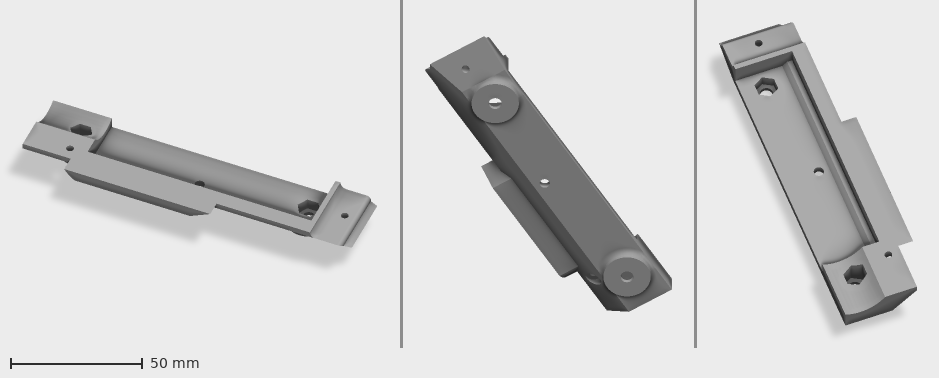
import cadquery as cq
import math

length = 133.9
body_width = 29.0
plate_thickness = 11.0
boss_height = 3.3
bottom_z = -plate_thickness - boss_height

boss_diameter = 18.0
boss_x_places = (15.9, 109.9)
boss_y = -10.0
boss_root_radius = 2.0
boss_hole_diameter = 5.0
nut_across_flats = 7.9
nut_floor_thickness = 1.6

front_wall_height = 2.4
slope_foot_y = -19.1

end_step_x = 118.6
end_step_depth = 2.7
end_wall_x = 131.2
end_wall_bottom = 5.1
end_round_radius = 1.6
tip_depth = 6.5
end_slope_foot_x = 119.1

tab_width = 6.0
tab_depth = 4.4
tab_left_x = 19.8
tab_right_x = 80.0
tab_bottom_left_x = 24.1
tab_bottom_right_x = 71.7
tab_left_bulge = 0.4

pocket_left_x = 24.2
pocket_right_x = 116.6
pocket_depth = 8.0
pocket_wall_y = -23.0
ledge_edge_y = -21.0
floor_edge_y = -19.0
ledge_depth = 6.3

groove_radius = 12.7
groove_y = -6.0
groove_depth = 5.0

small_hole_diameter = 3.0
left_hole = (17.4, -24.1)
right_hole = (126.1, -13.1)
left_counterbore_diameter = 6.0
left_counterbore_top = 2.7
middle_hole = (66.9, -14.9)
middle_hole_diameter = 3.9


def prism_along_x(outline, start_x, end_x):
    """Extrude a closed (Y, Z) outline from start_x to end_x."""
    return cq.Workplane("YZ", origin=(start_x, 0, 0)).polyline(outline).close().extrude(end_x - start_x)


def vertical_hole(place, diameter, top_z=0.0):
    """Cylinder that runs from top_z to the very bottom of the part."""
    return (
        cq.Workplane("XY", origin=(place[0], place[1], top_z))
        .circle(diameter / 2)
        .extrude(bottom_z - top_z)
    )


def make_plate():
    """Plate with the front slope, the lowered right end and its pointed tip."""
    section = [
        (0, 0),
        (-body_width, 0),
        (-body_width, -front_wall_height),
        (slope_foot_y, -plate_thickness),
        (0, -plate_thickness),
    ]
    diagonal = math.sqrt(0.5)
    step_arc_middle = (
        end_step_x + end_step_depth * (1 - diagonal),
        -end_step_depth * diagonal,
    )
    round_arc_middle = (
        end_wall_x - end_round_radius * (1 - diagonal),
        -end_step_depth - end_round_radius * (1 - diagonal),
    )
    side_profile = (
        cq.Workplane("XZ")
        .moveTo(0, 0)
        .lineTo(end_step_x, 0)
        .threePointArc(step_arc_middle, (end_step_x + end_step_depth, -end_step_depth))
        .lineTo(end_wall_x - end_round_radius, -end_step_depth)
        .threePointArc(round_arc_middle, (end_wall_x, -end_step_depth - end_round_radius))
        .lineTo(end_wall_x, -end_wall_bottom)
        .lineTo(length, -tip_depth)
        .lineTo(end_slope_foot_x, -plate_thickness)
        .lineTo(0, -plate_thickness)
        .close()
        .extrude(body_width)
    )
    return prism_along_x(section, 0, length).intersect(side_profile)


def make_tab():
    """Front tab with a rounded left end and a slanted right end, rooted inside the plate."""
    chord_x = tab_bottom_left_x - tab_left_x
    chord = math.hypot(chord_x, tab_depth)
    left_arc_middle = (
        (tab_left_x + tab_bottom_left_x) / 2 - tab_left_bulge * tab_depth / chord,
        -tab_depth / 2 - tab_left_bulge * chord_x / chord,
    )
    return (
        cq.Workplane("XZ", origin=(0, pocket_wall_y, 0))
        .moveTo(tab_right_x, 0)
        .lineTo(tab_bottom_right_x, -tab_depth)
        .lineTo(tab_bottom_left_x, -tab_depth)
        .threePointArc(left_arc_middle, (tab_left_x, 0))
        .close()
        .extrude(body_width + tab_width + pocket_wall_y)
    )


def add_boss(body, boss_x):
    """Add a round boss under the body and fillet its root, running off the plate's edges."""
    boss = (
        cq.Workplane("XY", origin=(boss_x, boss_y, bottom_z))
        .circle(boss_diameter / 2)
        .extrude(boss_height)
    )
    root_box = cq.selectors.BoxSelector(
        (boss_x - boss_diameter, boss_y - boss_diameter, -plate_thickness - boss_height / 2),
        (boss_x + boss_diameter, boss_y + boss_diameter, -plate_thickness + boss_height / 2),
    )
    return body.union(boss).edges("%CIRCLE").edges(root_box).fillet(boss_root_radius)


def make_pocket():
    section = [
        (0, 0),
        (pocket_wall_y, 0),
        (pocket_wall_y, -ledge_depth),
        (ledge_edge_y, -ledge_depth),
        (floor_edge_y, -pocket_depth),
        (0, -pocket_depth),
    ]
    return prism_along_x(section, pocket_left_x, pocket_right_x)


def make_groove():
    return (
        cq.Workplane("YZ")
        .center(groove_y, groove_radius - groove_depth)
        .circle(groove_radius)
        .extrude(pocket_left_x)
    )


def make_nut_recess(boss_x):
    """Hexagonal recess from the top, with a flat floor near the boss bottom."""
    nut_across_corners = nut_across_flats / math.cos(math.pi / 6)
    recess_floor_z = bottom_z + nut_floor_thickness
    return (
        cq.Workplane("XY", origin=(boss_x, boss_y, recess_floor_z))
        .polygon(6, nut_across_corners)
        .extrude(-recess_floor_z)
    )


result = make_plate().union(make_tab())

for x in boss_x_places:
    result = add_boss(result, x)

result = result.cut(make_pocket()).cut(make_groove())

for x in boss_x_places:
    result = result.cut(make_nut_recess(x))
    result = result.cut(vertical_hole((x, boss_y), boss_hole_diameter))

for place in (left_hole, right_hole):
    result = result.cut(vertical_hole(place, small_hole_diameter))
result = result.cut(vertical_hole(middle_hole, middle_hole_diameter))
result = result.cut(vertical_hole(left_hole, left_counterbore_diameter, -left_counterbore_top))